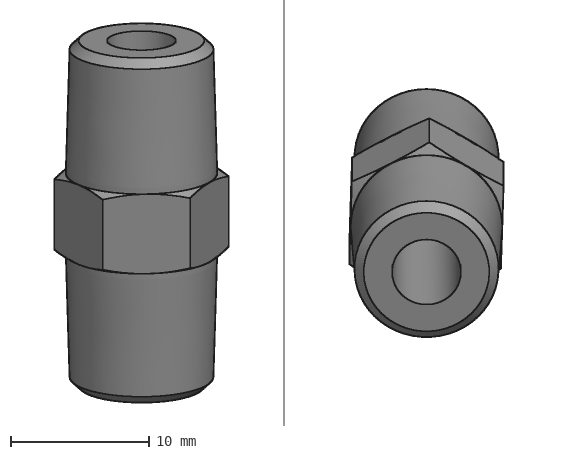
import cadquery as cq
import math

length = 26.0
across_flats = 11.0
hex_height = 6.0
bore_diameter = 5.0
end_radius = 4.55
thread_tip_radius = 5.23
thread_root_radius = 5.49
end_chamfer_height = 0.65
neck_height = 0.45
hex_chamfer_drop = 0.36

half_length = length / 2
half_hex = hex_height / 2
flat_radius = across_flats / 2
corner_radius = flat_radius / math.cos(math.pi / 6)


def revolve_half_profile(points):
    """Revolve a radius-height outline about the Z axis."""
    return cq.Workplane("XZ").polyline(points).close().revolve(360, (0, 0), (0, 1))


def threaded_end():
    """Upper tapered end, reaching from mid-length to the end face."""
    return revolve_half_profile([
        (0, 0),
        (thread_root_radius, 0),
        (thread_root_radius, half_hex + neck_height),
        (thread_tip_radius, half_length - end_chamfer_height),
        (end_radius, half_length),
        (0, half_length),
    ])


def chamfered_hexagon():
    """Wrench hexagon with flats facing X and conically turned corners."""
    prism = (
        cq.Workplane("XY")
        .polygon(6, 2 * corner_radius)
        .extrude(half_hex, both=True)
        .rotate((0, 0, 0), (0, 0, 1), 30)
    )
    corner_height = half_hex - hex_chamfer_drop
    turned_envelope = revolve_half_profile([
        (0, -half_hex),
        (flat_radius, -half_hex),
        (corner_radius, -corner_height),
        (corner_radius, corner_height),
        (flat_radius, half_hex),
        (0, half_hex),
    ])
    return prism.intersect(turned_envelope)


upper_end = threaded_end()
lower_end = upper_end.mirror("XY")
bore = cq.Workplane("XY").circle(bore_diameter / 2).extrude(half_length, both=True)

result = chamfered_hexagon().union(upper_end).union(lower_end).cut(bore)